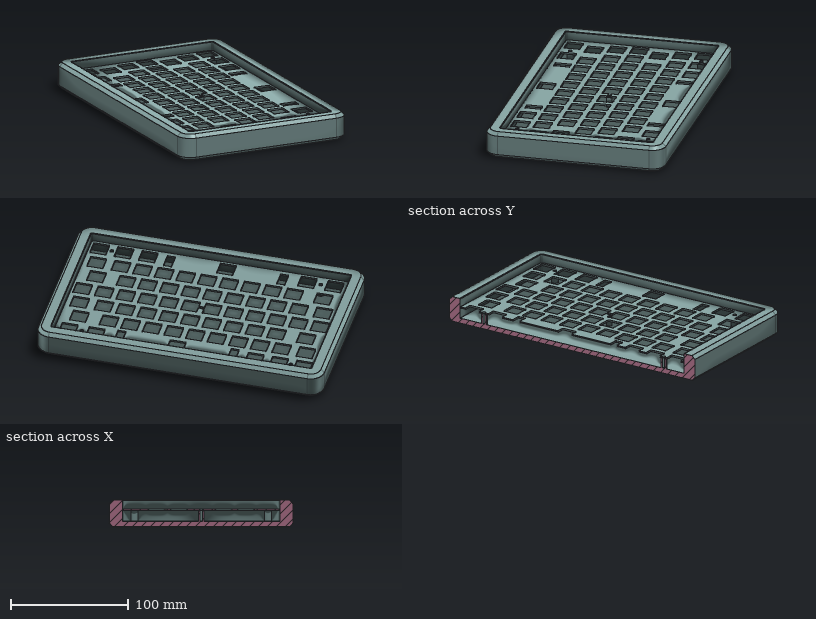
import cadquery as cq
KEY_UNIT = 19.05
FIELD_LENGTH = 12 * KEY_UNIT
FIELD_WIDTH = 7 * KEY_UNIT

WALL = 12.0
CASE_LENGTH = FIELD_LENGTH + 2 * WALL
CASE_WIDTH = FIELD_WIDTH + 2 * WALL
CASE_HEIGHT = 23.0
CASE_CORNER_RADIUS = 12.0
CASE_CHAMFER = 3.0
FLOOR_THICKNESS = 5.0
CAVITY_CLEARANCE = 0.5
RIM_CHAMFER = 0.5
CAVITY_CORNER_RADIUS = 1.0

PLATE_THICKNESS = 1.5
PLATE_TOP = 15.5
PLATE_BOTTOM = PLATE_TOP - PLATE_THICKNESS
PLATE_CORNER_RADIUS = 3.0

SWITCH_SIZE = 14.0
SWITCH_CORNER_RADIUS = 0.5
STABILIZER_LENGTH = 7.0
STABILIZER_WIDTH = 14.0
STABILIZER_SPACING = 100.0
STABILIZER_OFFSET = 1.5
SCREW_CLEARANCE_DIAMETER = 3.0
CENTRE_SLOT_WIDTH = 2.5

BOSS_DIAMETER = 6.0
CENTRE_BOSS_DIAMETER = 5.0
BOSS_HOLE_DIAMETER = 1.77
BOSS_HEIGHT = PLATE_BOTTOM - FLOOR_THICKNESS

TOP_ROW = [1, 1.25, 1, 6.25, 1.25, 1.25]
NARROW_START_ROW = [1.25] + 9 * [1] + [1.75]
WIDE_START_ROW = NARROW_START_ROW[::-1]
KEY_ROWS = [
    TOP_ROW,
    NARROW_START_ROW,
    WIDE_START_ROW,
    12 * [1],
    NARROW_START_ROW,
    WIDE_START_ROW,
    TOP_ROW[::-1],
]

END_ROW_Y = 3 * KEY_UNIT
SPACE_BAR_X = 0.375 * KEY_UNIT
SCREW_LEFT_X = -4.9375 * KEY_UNIT
SCREW_RIGHT_X = 4.75 * KEY_UNIT
CORNER_SCREWS = [
    (SCREW_LEFT_X, END_ROW_Y),
    (SCREW_RIGHT_X, END_ROW_Y),
    (-SCREW_RIGHT_X, -END_ROW_Y),
    (-SCREW_LEFT_X, -END_ROW_Y),
]


def switch_centres():
    centres = []
    for row_number, widths in enumerate(KEY_ROWS):
        y = END_ROW_Y - row_number * KEY_UNIT
        left = -FIELD_LENGTH / 2
        for width in widths:
            centres.append((left + width * KEY_UNIT / 2, y))
            left += width * KEY_UNIT
    return centres


def stabilizer_centres():
    centres = []
    for end in (1, -1):
        for side in (1, -1):
            x = end * SPACE_BAR_X + side * STABILIZER_SPACING / 2
            centres.append((x, end * (END_ROW_Y - STABILIZER_OFFSET)))
    return centres


def opening_cutters(length, width, centres):
    return (
        cq.Workplane("XY", origin=(0, 0, PLATE_BOTTOM))
        .pushPoints(centres)
        .rect(length, width)
        .extrude(PLATE_THICKNESS)
    )


def make_plate():
    blank = (
        cq.Workplane("XY", origin=(0, 0, PLATE_BOTTOM))
        .rect(FIELD_LENGTH, FIELD_WIDTH)
        .extrude(PLATE_THICKNESS)
        .edges("|Z")
        .fillet(PLATE_CORNER_RADIUS)
    )
    switches = opening_cutters(SWITCH_SIZE, SWITCH_SIZE, switch_centres())
    switches = switches.edges("|Z").fillet(SWITCH_CORNER_RADIUS)
    stabilizers = opening_cutters(STABILIZER_LENGTH, STABILIZER_WIDTH, stabilizer_centres())
    centre_slot = opening_cutters(KEY_UNIT, CENTRE_SLOT_WIDTH, [(0, 0)])
    screw_holes = (
        cq.Workplane("XY", origin=(0, 0, PLATE_BOTTOM))
        .pushPoints(CORNER_SCREWS)
        .circle(SCREW_CLEARANCE_DIAMETER / 2)
        .extrude(PLATE_THICKNESS)
    )
    return blank.cut(switches).cut(stabilizers).cut(centre_slot).cut(screw_holes)


def screw_bosses(diameter, centres):
    return (
        cq.Workplane("XY", origin=(0, 0, FLOOR_THICKNESS))
        .pushPoints(centres)
        .circle(diameter / 2)
        .circle(BOSS_HOLE_DIAMETER / 2)
        .extrude(BOSS_HEIGHT)
    )


def make_case():
    shell = (
        cq.Workplane("XY")
        .rect(CASE_LENGTH, CASE_WIDTH)
        .extrude(CASE_HEIGHT)
        .edges("|Z")
        .fillet(CASE_CORNER_RADIUS)
        .faces("<Z or >Z")
        .chamfer(CASE_CHAMFER)
    )
    cavity = (
        cq.Workplane("XY", origin=(0, 0, FLOOR_THICKNESS))
        .rect(FIELD_LENGTH + 2 * CAVITY_CLEARANCE, FIELD_WIDTH + 2 * CAVITY_CLEARANCE)
        .extrude(CASE_HEIGHT - FLOOR_THICKNESS)
        .edges("|Z")
        .fillet(CAVITY_CORNER_RADIUS)
    )
    hollow = shell.cut(cavity).faces(">Z").wires(cq.selectors.LengthNthSelector(0)).chamfer(RIM_CHAMFER)
    bosses = screw_bosses(BOSS_DIAMETER, CORNER_SCREWS)
    centre_boss = screw_bosses(CENTRE_BOSS_DIAMETER, [(0, 0)])
    return hollow.union(bosses).union(centre_boss)


case = make_case()
plate = make_plate()
result = cq.Compound.makeCompound([case.val(), plate.val()])